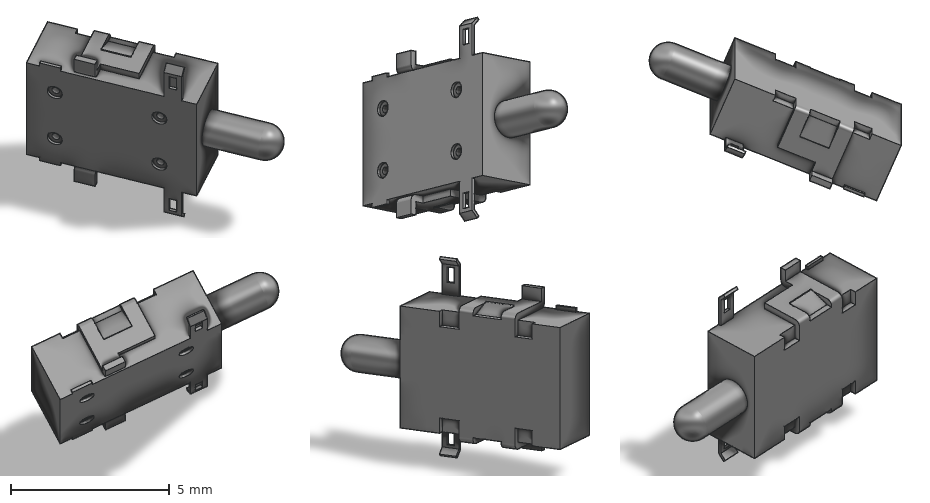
import cadquery as cq
import math


body_length = 5.7
body_depth = 2.0
body_height = 3.98
half_height = body_height / 2

overall_length = 8.2
plunger_diameter = 1.2
plunger_y = 1.1

hole_x_positions = (0.95, 4.45)
hole_z = 1.0
counterbore_diameter = 0.5
counterbore_depth = 0.1
pilot_diameter = 0.25
pilot_depth = 0.4

tab_start_x = 0.44
tab_length = 0.7
tab_thickness = 0.1
tab_height = 0.13

notch_start_x = 1.0
notch_end_x = 4.3
notch_floor_z = half_height - 0.5

clip_thickness = 0.2
clip_start_x = 1.6
clip_end_x = 3.6
flange_thickness = 0.23
flange_z = half_height + flange_thickness
flange_front_y = 0.5
bend_radius = 0.2
notch_floor_y = body_depth - clip_thickness

foot_width = 0.7
foot_end_x = clip_start_x + foot_width
foot_top_z = 2.65

hook_start_x = 2.1
hook_end_x = 3.1
hook_front_y = 1.11
hook_rise = 0.27

pin_center_x = 4.9
pin_width = 0.6
pin_thickness = 0.1
pin_bend_z = 3.03
pin_tip_z = 3.25
pin_bend_angle = 45
pin_window_width = 0.25
pin_window_height = 0.5
pin_window_z = 2.65


def block(x_range, y_range, z_range):
    """Box spanning the given (low, high) ranges."""
    spans = [high - low for low, high in (x_range, y_range, z_range)]
    corner = (x_range[0], y_range[0], z_range[0])
    return cq.Workplane("XY").box(*spans, centered=False).translate(corner)


def side_profile(start_x):
    """Sketch plane at start_x whose local axes are Y and Z, extruding toward +X."""
    return cq.Workplane("YZ", origin=(start_x, 0, 0))


def both_sides(upper):
    """Join a feature on the +Z side with its mirror image on the -Z side."""
    return upper.union(upper.mirror("XY"))


def make_housing():
    housing = block((0, body_length), (0, body_depth), (-half_height, half_height))
    notch = block(
        (notch_start_x, notch_end_x), (notch_floor_y, body_depth), (notch_floor_z, half_height)
    )
    tab = block(
        (tab_start_x, tab_start_x + tab_length),
        (0, tab_thickness),
        (half_height - tab_thickness, half_height + tab_height),
    )
    return housing.cut(both_sides(notch)).union(both_sides(tab))


def make_plunger():
    """Round pin with a hemispherical tip, rooted at the housing end face."""
    radius = plunger_diameter / 2
    dome_start_x = overall_length - radius
    dome_middle = radius * math.sqrt(0.5)
    return (
        cq.Workplane("XY", origin=(0, plunger_y, 0))
        .moveTo(body_length, 0)
        .lineTo(body_length, radius)
        .lineTo(dome_start_x, radius)
        .threePointArc((dome_start_x + dome_middle, dome_middle), (overall_length, 0))
        .close()
        .revolve(360, (0, 0, 0), (1, 0, 0))
    )


def make_clips():
    """Legs filling part of each notch, with flange, solder foot and hook window."""
    leg = block(
        (clip_start_x, clip_end_x), (notch_floor_y, body_depth), (notch_floor_z, half_height)
    )
    flange = (
        block((clip_start_x, clip_end_x), (flange_front_y, body_depth), (half_height, flange_z))
        .edges("|X and >Y and >Z")
        .fillet(bend_radius)
    )
    foot_arm = block((clip_start_x, foot_end_x), (0, flange_front_y), (half_height, flange_z))
    foot = block((clip_start_x, foot_end_x), (0, clip_thickness), (half_height, foot_top_z))
    foot = foot.union(foot_arm).edges("|X and <Y and <Z").fillet(bend_radius)
    window = block((hook_start_x, hook_end_x), (hook_front_y, body_depth), (half_height, flange_z))
    return both_sides(flange.union(foot).cut(window).union(leg))


def make_hooks():
    """Ramps that rise from the notch edge to a steep catch at the front."""
    ramp = (
        side_profile(hook_start_x)
        .polyline(
            [
                (hook_front_y, half_height),
                (notch_floor_y, half_height),
                (hook_front_y, half_height + hook_rise),
            ]
        )
        .close()
        .extrude(hook_end_x - hook_start_x)
    )
    return both_sides(ramp)


def make_pins():
    """Flat pins, windowed, with the tip bent back toward +Y."""
    angle = math.radians(pin_bend_angle)
    tip_rise = pin_tip_z - pin_bend_z
    tip_y = tip_rise * math.tan(angle)
    inner_bend_z = pin_bend_z - pin_thickness * math.tan(angle / 2)
    inner_tip_y = tip_y + pin_thickness * math.cos(angle)
    inner_tip_z = pin_tip_z - pin_thickness * math.sin(angle)
    root_z = half_height - pin_thickness
    pin = (
        side_profile(pin_center_x - pin_width / 2)
        .polyline(
            [
                (0, root_z),
                (0, pin_bend_z),
                (tip_y, pin_tip_z),
                (inner_tip_y, inner_tip_z),
                (pin_thickness, inner_bend_z),
                (pin_thickness, root_z),
            ]
        )
        .close()
        .extrude(pin_width)
    )
    window = cq.Workplane("XY").box(pin_window_width, 2 * pin_thickness, pin_window_height)
    window = window.translate((pin_center_x, pin_thickness / 2, pin_window_z))
    return both_sides(pin.cut(window))


def make_holes():
    """Counterbored blind holes, drilled into the front face toward +Y."""
    centers = [(x, z) for x in hole_x_positions for z in (-hole_z, hole_z)]
    front = cq.Workplane("XZ").pushPoints(centers)
    counterbores = front.circle(counterbore_diameter / 2).extrude(-counterbore_depth)
    pilots = front.circle(pilot_diameter / 2).extrude(-pilot_depth)
    return counterbores.union(pilots)


result = (
    make_housing()
    .cut(make_holes())
    .union(make_plunger())
    .union(make_clips())
    .union(make_hooks())
    .union(make_pins())
)